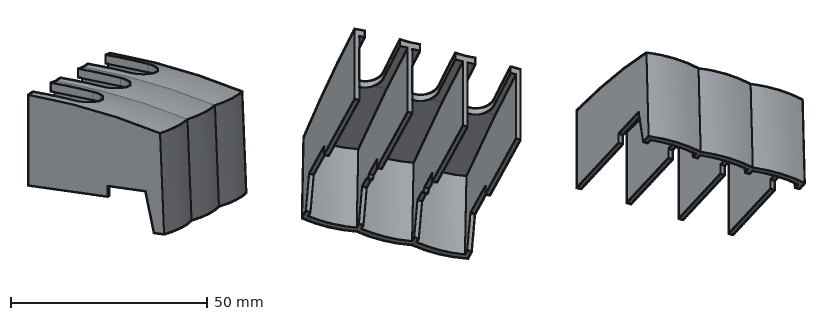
import cadquery as cq
import math

lobe_count = 3
width = 45.0
pitch = width / lobe_count
panel = 1.25

roof_start = (0.0, 31.85)
roof_middle = (18.9, 30.25)
roof_end = (37.95, 26.6)
roof_bow = 0.3

underside_start_z = 29.75
underside_bend = (15.52, 28.8)
underside_slope = 0.14

wall_foot = 39.1
wall_bulge = 0.9
wall_thickness = 1.58
wall_lean = (wall_foot - roof_end[0]) / roof_end[1]

panel_bottom = 7.88
step_x = 22.75
notch_top = 10.7
leg_top_x = 33.7
leg_foot_x = 36.15

nub_x = 29.5
nub_drop = 0.68
nub_half_width = 0.95

slot_radius = 4.75
slot_end = 17.0

tall = 40.5
clearance = 4.5

lobe_centers = [(i + 0.5) * pitch - width / 2 for i in range(lobe_count)]
divider_centers = [i * pitch - width / 2 for i in range(1, lobe_count)]
panel_centers = divider_centers + [-(width - panel) / 2, (width - panel) / 2]


def circle_through(a, b, c):
    """Center and radius of the circle through three XZ points."""
    d = 2 * (a[0] * (b[1] - c[1]) + b[0] * (c[1] - a[1]) + c[0] * (a[1] - b[1]))
    sa, sb, sc = (p[0] ** 2 + p[1] ** 2 for p in (a, b, c))
    x = (sa * (b[1] - c[1]) + sb * (c[1] - a[1]) + sc * (a[1] - b[1])) / d
    z = (sa * (c[0] - b[0]) + sb * (a[0] - c[0]) + sc * (b[0] - a[0])) / d
    return x, z, math.hypot(a[0] - x, a[1] - z)


roof_x, roof_z, roof_radius = circle_through(roof_start, roof_middle, roof_end)


def roof_body():
    """Solid under the roof: the lobed section revolved about the roof axis."""
    crown = roof_z + roof_radius
    section = cq.Workplane("YZ", origin=(roof_x, 0, 0)).moveTo(-width / 2, roof_z).lineTo(-width / 2, crown)
    for y in lobe_centers:
        section = section.threePointArc((y, crown + roof_bow), (y + pitch / 2, crown))
    section = section.lineTo(width / 2, roof_z).close()
    return section.revolve(360, (0, roof_z), (1, roof_z))


def leaning_prism(edge_x):
    """Lobed plan, from X behind the part to the given edge X, extruded along the wall's lean."""
    plan = cq.Workplane("XY").moveTo(-clearance - tall * wall_lean, -width / 2).lineTo(edge_x, -width / 2)
    for y in lobe_centers:
        plan = plan.threePointArc((edge_x + wall_bulge, y), (edge_x, y + pitch / 2))
    plan = plan.lineTo(-clearance - tall * wall_lean, width / 2).close()
    lean = cq.Vector(-wall_lean * tall, 0, tall)
    return cq.Workplane(cq.Solid.extrudeLinear(plan.val(), [], lean))


def cavity():
    """Space below the roof and behind the end wall, open at the back and base."""
    underside_end_z = underside_bend[1] - underside_slope * (width - underside_bend[0])
    under_roof = (
        cq.Workplane("XZ", origin=(0, width / 2, 0))
        .moveTo(0, 0)
        .lineTo(0, underside_start_z)
        .lineTo(*underside_bend)
        .lineTo(width, underside_end_z)
        .lineTo(width, 0)
        .close()
        .extrude(width)
    )
    return leaning_prism(wall_foot - wall_thickness).intersect(under_roof)


def panels():
    """Upright panels at the sides and between the lobes."""
    plates = cq.Workplane("XY")
    for y in panel_centers:
        plates = plates.union(cq.Workplane("XY").box(width, panel, tall, (False, True, False)).translate((0, y, 0)))
    return plates


def lower_cut():
    """Everything below the stepped and notched lower edge of the panels."""
    outline = (
        cq.Workplane("XZ", origin=(0, width / 2, 0))
        .moveTo(-clearance, 0)
        .lineTo(-clearance, panel_bottom)
        .lineTo(step_x, panel_bottom)
        .lineTo(step_x, notch_top)
        .lineTo(leg_top_x, notch_top)
        .lineTo(leg_foot_x, 0)
        .close()
    )
    return outline.extrude(width)


def nub(y):
    """Rounded nub hanging from the notch edge of the panel centered at y."""
    profile = (
        cq.Workplane("XZ", origin=(0, y + panel / 2, 0))
        .moveTo(nub_x - nub_half_width, notch_top)
        .threePointArc((nub_x, notch_top - nub_drop), (nub_x + nub_half_width, notch_top))
        .close()
    )
    return profile.extrude(panel)


def slot(y):
    """Round-ended slot through the roof, open at X = 0."""
    straight = slot_end - slot_radius
    bar = cq.Workplane("XY").box(straight, 2 * slot_radius, tall, (False, True, False))
    round_end = cq.Workplane("XY").center(straight, 0).circle(slot_radius).extrude(tall)
    return bar.union(round_end).translate((0, y, 0))


envelope = cq.Workplane("XY").box(width, width, tall, (False, True, False))
body = leaning_prism(wall_foot).intersect(envelope).intersect(roof_body())
result = body.cut(cavity().cut(panels())).cut(lower_cut())
for divider_y in divider_centers:
    result = result.union(nub(divider_y))
for lobe_y in lobe_centers:
    result = result.cut(slot(lobe_y))